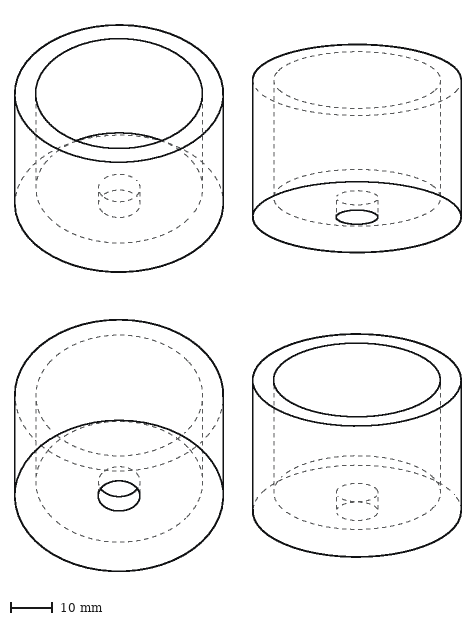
import cadquery as cq

outer_diameter = 50.0
height = 35.0

cavity_diameter = 40.0
floor_thickness = 5.0
floor_hole_diameter = 10.0

body = cq.Workplane("XY").circle(outer_diameter / 2).extrude(height)

cavity = (
    cq.Workplane("XY")
    .workplane(offset=floor_thickness)
    .circle(cavity_diameter / 2)
    .extrude(height - floor_thickness)
)

floor_hole = cq.Workplane("XY").circle(floor_hole_diameter / 2).extrude(floor_thickness)

result = body.cut(cavity).cut(floor_hole)